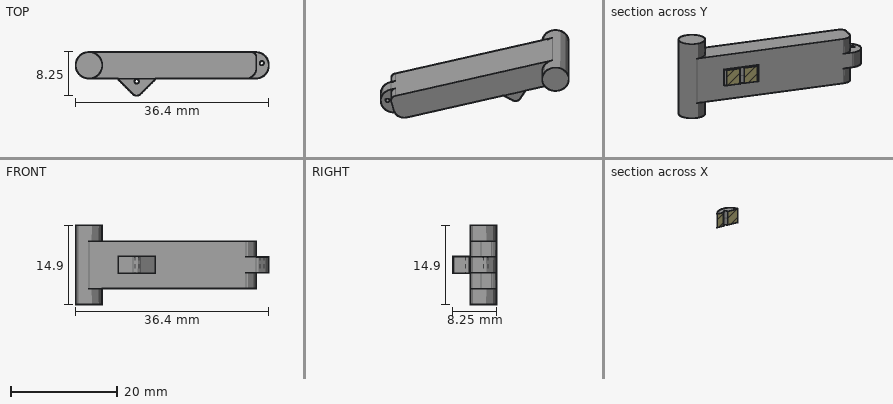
import cadquery as cq

total_length = 36.35
pin_diameter = 5.0
pin_height = 14.95

bar_length = 31.5
bar_height = 8.95
front_corner_radius = 2.0
back_corner_radius = 1.0

tongue_height = 2.98
tongue_hole_diameter = 0.75
tongue_hole_x = 32.5
tongue_hole_y = 0.4

catch_x = 8.98
catch_width = 7.0
catch_height = 3.15
catch_depth = 3.25
catch_tip_radius = 0.98
catch_hole_diameter = 0.8
catch_hole_y = -3.0

pin_radius = pin_diameter / 2
front_y = -pin_radius
tongue_center_x = total_length - 2 * pin_radius
catch_half_width = catch_width / 2
catch_sharp_depth = catch_depth + (2**0.5 - 1) * catch_tip_radius
catch_side_depth = catch_sharp_depth - catch_half_width


def make_pin():
    return cq.Workplane("XY").circle(pin_radius).extrude(pin_height / 2, both=True)


def make_bar():
    bar = cq.Workplane("XY").box(bar_length, pin_diameter, bar_height, centered=(False, True, True))
    bar = bar.edges("|Z and >X and <Y").fillet(front_corner_radius)
    return bar.edges("|Z and >X and >Y").fillet(back_corner_radius)


def make_tongue():
    tongue = (
        cq.Workplane("XY")
        .moveTo(0, front_y)
        .lineTo(tongue_center_x, front_y)
        .threePointArc((tongue_center_x + pin_radius, 0), (tongue_center_x, pin_radius))
        .lineTo(0, pin_radius)
        .close()
        .extrude(tongue_height / 2, both=True)
    )
    hole = (
        cq.Workplane("XY")
        .center(tongue_hole_x, tongue_hole_y)
        .circle(tongue_hole_diameter / 2)
        .extrude(tongue_height, both=True)
    )
    return tongue.cut(hole)


def make_catch():
    left_x = catch_x - catch_half_width
    right_x = catch_x + catch_half_width
    shoulder_y = front_y - catch_side_depth
    outline = [
        (left_x, 0),
        (left_x, shoulder_y),
        (catch_x, front_y - catch_sharp_depth),
        (right_x, shoulder_y),
        (right_x, 0),
    ]
    catch = cq.Workplane("XY").polyline(outline).close().extrude(catch_height / 2, both=True)
    return catch.edges("|Z and <Y").fillet(catch_tip_radius)


def make_catch_hole():
    return (
        cq.Workplane("XY")
        .center(catch_x, catch_hole_y)
        .circle(catch_hole_diameter / 2)
        .extrude(catch_height, both=True)
    )


result = make_pin().union(make_bar()).union(make_tongue()).union(make_catch()).cut(make_catch_hole())